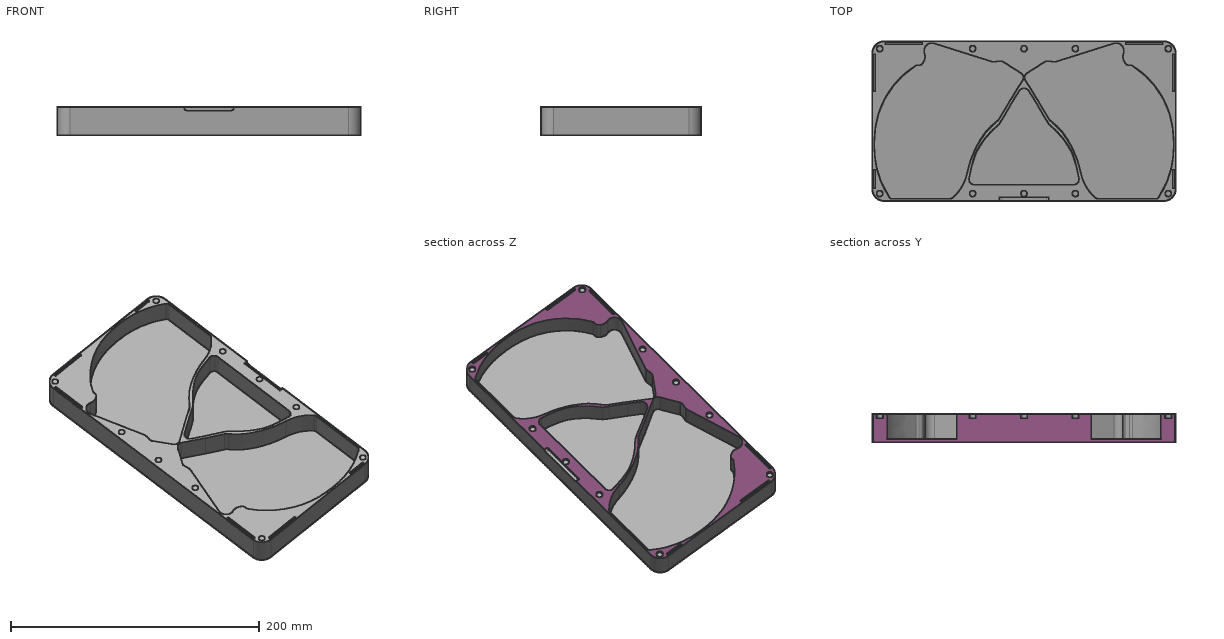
import cadquery as cq

LENGTH = 244.9
WIDTH = 129.0
HEIGHT = 23.0
CORNER_RADIUS = 10.0

POCKET_DEPTH = 20.0
SIDE_POCKET_FRONT_Y = -62.7
MIDDLE_POCKET_FRONT_Y = -51.2
MIDDLE_POCKET_BACK_Y = 26.5
MIDDLE_POCKET_HALF_WIDTH = 44.3

OUTER_WALL = [
    (-108.5, -61.5),
    (-115, -49.2),
    (-118.8, -37.7),
    (-120.7, -17.9),
    (-117.0, 6.9),
    (-105.0, 29.0),
    (-87.5, 44.5),
]
INNER_WALL = [(-22, -0.2), (-30.9, -8.8), (-38.0, -19.8), (-43.0, -31.8), (-45.8, -41.6)]
MIDDLE_WALL = [(20.0, -2.5), (32.5, -15.5), (38.5, -25.0), (42.4, -37.0), (MIDDLE_POCKET_HALF_WIDTH, -46.5)]

GROOVE_WIDTH = 1.5
GROOVE_DEPTH = 2.5
GROOVE_RIM = 1.0
LONG_GROOVE = 29.9
SHORT_GROOVE = LONG_GROOVE / 2
BACK_GROOVE_X = 97.0
LONG_SIDE_GROOVE_Y = 39.2
SHORT_SIDE_GROOVE_Y = -46.8

NOTCH_LENGTH = 39.7
NOTCH_WIDTH = 3.2
NOTCH_DEPTH = 3.0
NOTCH_FILLET = 1.7

MAGNET_DIAMETER = 5
MAGNET_HEIGHT = 3.0
MAGNET_COVER = 0.5
MAGNET_INSET = 6.0
MAGNET_SPACING = 41.5


def top_plane(depth=0):
    return cq.Workplane("XY", origin=(0, 0, HEIGHT - depth))


def make_body():
    body = cq.Workplane("XY").box(LENGTH, WIDTH, HEIGHT, centered=(True, True, False))
    return body.edges("|Z").fillet(CORNER_RADIUS)


def make_side_pocket():
    """Left pan-shaped pocket, drawn clockwise from the top of its back lobe."""
    outline = top_plane().moveTo(-72.5, 62.7)
    outline = (
        outline.lineTo(-26.7, 48.2)
        .threePointArc((-25.7, 48.0), (-24.5, 47.7))
        .lineTo(-21.0, 48.2)
        .threePointArc((-19.3, 48.5), (-17.5, 48.2))
        .lineTo(-3.2, 39.2)
    )
    outline = (
        outline.threePointArc((-0.7, 36.5), (-0.7, 33.5))
        .lineTo(-11.5, 16.2)
        .lineTo(-19.5, 2.5)
        .threePointArc((-20.5, 1.0), INNER_WALL[0])
        .spline(INNER_WALL[1:], includeCurrent=True)
    )
    outline = (
        outline.threePointArc((-50.0, -52.6), (-57.8, -62.0))
        .threePointArc((-58.8, -62.5), (-59.7, SIDE_POCKET_FRONT_Y))
        .lineTo(-106.3, SIDE_POCKET_FRONT_Y)
        .threePointArc((-107.5, -62.5), OUTER_WALL[0])
    )
    outline = (
        outline.spline(OUTER_WALL[1:], includeCurrent=True)
        .threePointArc((-86.2, 45.0), (-85.0, 45.0))
        .threePointArc((-82.8, 45.5), (-81.3, 47.3))
        .threePointArc((-79.8, 51.0), (-80.3, 54.9))
        .threePointArc((-78.5, 61.2), (-72.5, 62.7))
    )
    return outline.close().extrude(-POCKET_DEPTH)


def make_middle_pocket():
    """Triangular pocket with bowed sides: the right half outline is mirrored in X = 0."""
    right_half = (
        top_plane()
        .moveTo(0, MIDDLE_POCKET_BACK_Y)
        .threePointArc((2.5, 25.7), (4.5, 23.5))
        .lineTo(9.5, 15.2)
        .lineTo(17.5, 1.7)
        .lineTo(*MIDDLE_WALL[0])
        .spline(MIDDLE_WALL[1:], includeCurrent=True)
        .threePointArc((43.3, -49.7), (40.2, MIDDLE_POCKET_FRONT_Y))
        .lineTo(0, MIDDLE_POCKET_FRONT_Y)
    )
    return right_half.mirrorY().extrude(-POCKET_DEPTH)


def make_groove(size_x, size_y, x, y):
    return top_plane().center(x, y).rect(size_x, size_y).extrude(-GROOVE_DEPTH)


def cut_grooves(body):
    inset = GROOVE_RIM + GROOVE_WIDTH / 2
    back_y = WIDTH / 2 - inset
    for side in (-1, 1):
        side_x = side * (LENGTH / 2 - inset)
        body = (
            body.cut(make_groove(LONG_GROOVE, GROOVE_WIDTH, side * BACK_GROOVE_X, back_y))
            .cut(make_groove(GROOVE_WIDTH, LONG_GROOVE, side_x, LONG_SIDE_GROOVE_Y))
            .cut(make_groove(GROOVE_WIDTH, SHORT_GROOVE, side_x, SHORT_SIDE_GROOVE_Y))
        )
    return body


def make_notch():
    """Bar centred on the front face, so that half of its width cuts into the tray."""
    notch = top_plane().center(0, -WIDTH / 2).rect(NOTCH_LENGTH, 2 * NOTCH_WIDTH).extrude(-NOTCH_DEPTH)
    return notch.edges("|Y and <Z").fillet(NOTCH_FILLET)


def make_magnet_cavities():
    end_x = LENGTH / 2 - MAGNET_INSET
    row_y = WIDTH / 2 - MAGNET_INSET
    columns = (-end_x, -MAGNET_SPACING, 0, MAGNET_SPACING, end_x)
    places = [(x, y) for x in columns for y in (-row_y, row_y)]
    ceiling = top_plane(MAGNET_COVER)
    return ceiling.pushPoints(places).circle(MAGNET_DIAMETER / 2).extrude(-MAGNET_HEIGHT)


side_pocket = make_side_pocket()
tray = (
    make_body()
    .cut(side_pocket)
    .cut(side_pocket.mirror("YZ"))
    .cut(make_middle_pocket())
    .cut(make_notch())
    .cut(make_magnet_cavities())
)
result = cut_grooves(tray).solids()